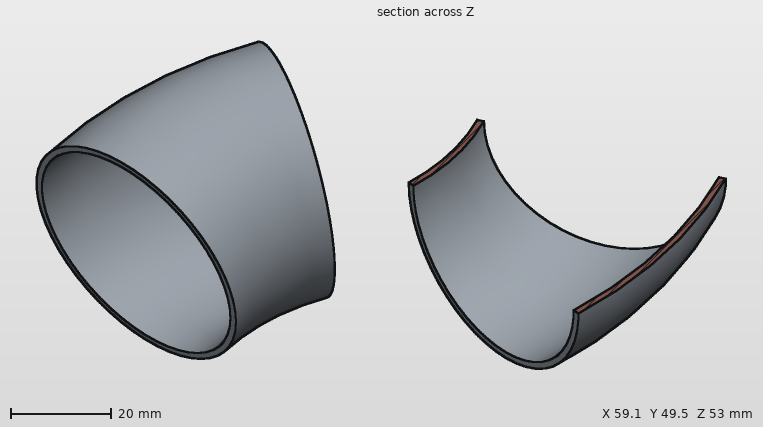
import cadquery as cq
import math

overall_length = 59.15
bend_angle = 30.0
bend_radius = 72.5
wall_thickness = 1.5

bend_cosine = math.cos(math.radians(bend_angle))
outer_radius = (overall_length - bend_radius * (1 - bend_cosine)) / (1 + bend_cosine)
inner_radius = outer_radius - wall_thickness

result = (
    cq.Workplane("XZ")
    .circle(outer_radius)
    .circle(inner_radius)
    .revolve(bend_angle, (bend_radius, 0.6, 0), (bend_radius, -0.6, 0))
)